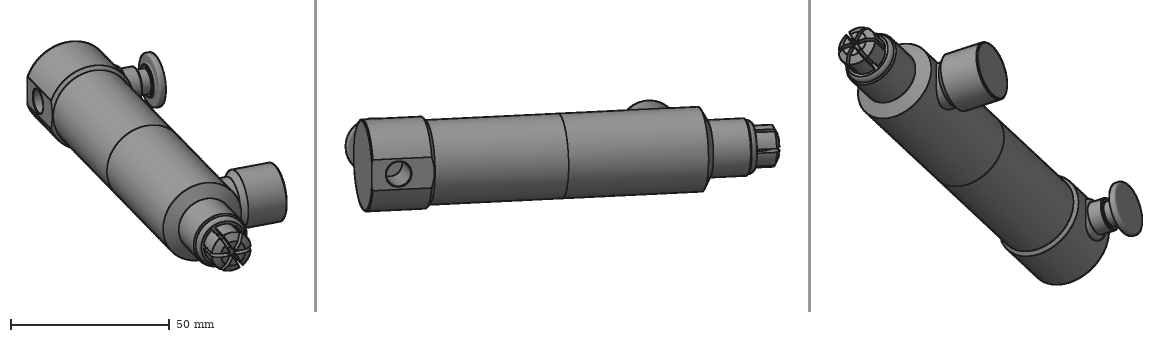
import cadquery as cq
import math


head_radius = 29.21 / 2
body_radius = 26.92 / 2
head_start_x = 0.2
head_end_x = 20.7
head_front_chamfer = 0.4
flat_offset = 13.72
seam_x = 63.75
shoulder_x = 108.85
shoulder_angle = math.radians(60)

hole_bore_radius = 7.95 / 2
hole_mouth_radius = 8.38 / 2
hole_depth = flat_offset

boss_radius = 13.72 / 2
boss_top_y = 14.85
collar_radius = 10.87 / 2
collar_top_y = 20.0
collar_chamfer = 0.4
stem_neck_radius = 8.38 / 2
lip_bottom_y = 23.4
flange_top_y = 26.8
flange_radius = 17.78 / 2
stem_x = flange_radius
flange_rounding = 0.8
lip_fillet = 0.6
flange_bottom_y = lip_bottom_y + collar_chamfer + lip_fillet

port_x = 98.25
port_radius = 19.05 / 2
port_neck_radius = 15.19 / 2
overall_depth = 43.43
port_top_y = overall_depth - flat_offset
port_top_chamfer = 0.4
port_cone_top_y = 16.3

nose_radius = 18.31 / 2
nose_end_x = 123.8
nose_chamfer = 0.5
ring_end_x = 125.75
ring_end_radius = 15.19 / 2

collet_radius = 13.41 / 2
collet_tip_radius = 8.38 / 2
collet_tip_angle = math.radians(60)
collet_end_x = 133.68
core_radius = 7.95 / 2
core_taper_x = 129.25
core_end_x = 131.7
slot_count = 6
slot_width = 1.2

arc_inset = 1 - math.sqrt(0.5)


def revolve_about_x(profile):
    return profile.close().revolve(360, (0, 0, 0), (1, 0, 0))


def revolve_about_y(profile, x):
    """Revolve a (radius, y) profile about the Y direction and move it to x."""
    return profile.close().revolve(360, (0, 0, 0), (0, 1, 0)).translate((x, 0, 0))


def make_head_barrel():
    head_taper = head_radius - body_radius
    return revolve_about_x(
        cq.Workplane("XY")
        .moveTo(head_start_x, 0)
        .lineTo(head_start_x, head_radius - head_front_chamfer)
        .lineTo(head_start_x + head_front_chamfer, head_radius)
        .lineTo(head_end_x - head_taper, head_radius)
        .lineTo(head_end_x, body_radius)
        .lineTo(seam_x, body_radius)
        .lineTo(seam_x, 0)
    )


def cut_head_flat(body):
    waste_depth = head_radius
    waste = cq.Workplane("XY").box(
        head_end_x, waste_depth, 2 * head_radius, centered=(False, False, True)
    )
    return body.cut(waste.translate((0, -flat_offset - waste_depth, 0)))


def make_flat_hole():
    """Blind hole with a small chamfer at its mouth."""
    mouth_chamfer = hole_mouth_radius - hole_bore_radius
    return revolve_about_y(
        cq.Workplane("XY")
        .moveTo(0, -flat_offset)
        .lineTo(hole_mouth_radius, -flat_offset)
        .lineTo(hole_bore_radius, -flat_offset + mouth_chamfer)
        .lineTo(hole_bore_radius, -flat_offset + hole_depth)
        .lineTo(0, -flat_offset + hole_depth),
        stem_x,
    )


def make_stem():
    boss_rounding = boss_radius - collar_radius
    collar_step_radius = collar_radius - collar_chamfer
    flange_edge_radius = flange_radius - flange_rounding
    return revolve_about_y(
        cq.Workplane("XY")
        .moveTo(0, 0)
        .lineTo(boss_radius, 0)
        .lineTo(boss_radius, boss_top_y - boss_rounding)
        .threePointArc(
            (boss_radius - arc_inset * boss_rounding, boss_top_y - arc_inset * boss_rounding),
            (collar_radius, boss_top_y),
        )
        .lineTo(collar_radius, collar_top_y - collar_chamfer)
        .lineTo(collar_step_radius, collar_top_y)
        .lineTo(stem_neck_radius, collar_top_y)
        .lineTo(stem_neck_radius, lip_bottom_y)
        .lineTo(collar_step_radius, lip_bottom_y)
        .lineTo(collar_radius, lip_bottom_y + collar_chamfer)
        .threePointArc(
            (collar_radius + arc_inset * lip_fillet, flange_bottom_y - arc_inset * lip_fillet),
            (collar_radius + lip_fillet, flange_bottom_y),
        )
        .lineTo(flange_edge_radius, flange_bottom_y)
        .threePointArc(
            (flange_radius - arc_inset * flange_rounding, flange_bottom_y + arc_inset * flange_rounding),
            (flange_radius, flange_bottom_y + flange_rounding),
        )
        .lineTo(flange_radius, flange_top_y - flange_rounding)
        .threePointArc(
            (flange_radius - arc_inset * flange_rounding, flange_top_y - arc_inset * flange_rounding),
            (flange_edge_radius, flange_top_y),
        )
        .lineTo(0, flange_top_y),
        stem_x,
    )


def make_rear_barrel():
    """Rear half of the barrel, shoulder, nose with its rounded ring, and the collet outline."""
    shoulder_length = (body_radius - nose_radius) / math.tan(shoulder_angle)
    ring_start_radius = nose_radius - nose_chamfer
    ring_length = ring_end_x - nose_end_x
    ring_drop = ring_start_radius - ring_end_radius
    ring_rounding = (ring_length**2 + ring_drop**2) / (2 * ring_drop)
    tip_length = (collet_radius - collet_tip_radius) / math.tan(collet_tip_angle)
    return revolve_about_x(
        cq.Workplane("XY")
        .moveTo(seam_x, 0)
        .lineTo(seam_x, body_radius)
        .lineTo(shoulder_x, body_radius)
        .lineTo(shoulder_x + shoulder_length, nose_radius)
        .lineTo(nose_end_x - nose_chamfer, nose_radius)
        .lineTo(nose_end_x, ring_start_radius)
        .radiusArc((ring_end_x, ring_end_radius), ring_rounding)
        .lineTo(ring_end_x, collet_radius)
        .lineTo(collet_end_x - tip_length, collet_radius)
        .lineTo(collet_end_x, collet_tip_radius)
        .lineTo(collet_end_x, 0)
    )


def make_collet_core():
    """Core that forms the floor of the slots."""
    core_tip_radius = core_radius - (core_end_x - core_taper_x)
    return revolve_about_x(
        cq.Workplane("XY")
        .moveTo(ring_end_x, 0)
        .lineTo(ring_end_x, core_radius)
        .lineTo(core_taper_x, core_radius)
        .lineTo(core_end_x, core_tip_radius)
        .lineTo(core_end_x, 0)
    )


def cut_collet_slots(body):
    """Radial slots down to the core, evenly spaced from -Y, meeting on the axis past its tip."""
    blade = cq.Workplane("XY").box(
        collet_end_x - ring_end_x, collet_radius, slot_width, centered=(False, False, True)
    )
    blade = blade.translate((ring_end_x, -collet_radius, 0)).cut(make_collet_core())
    for index in range(slot_count):
        angle = index * 360 / slot_count
        body = body.cut(blade.rotate((0, 0, 0), (1, 0, 0), angle))
    return body


def make_port():
    cone_height = port_radius - port_neck_radius
    return revolve_about_y(
        cq.Workplane("XY")
        .moveTo(0, 0)
        .lineTo(port_neck_radius, 0)
        .lineTo(port_neck_radius, port_cone_top_y - cone_height)
        .lineTo(port_radius, port_cone_top_y)
        .lineTo(port_radius, port_top_y - port_top_chamfer)
        .lineTo(port_radius - port_top_chamfer, port_top_y)
        .lineTo(0, port_top_y),
        port_x,
    )


head_body = cut_head_flat(make_head_barrel()).union(make_stem()).cut(make_flat_hole())

rear_body = cut_collet_slots(make_rear_barrel()).union(make_port())

result = cq.Compound.makeCompound([head_body.val(), rear_body.val()])